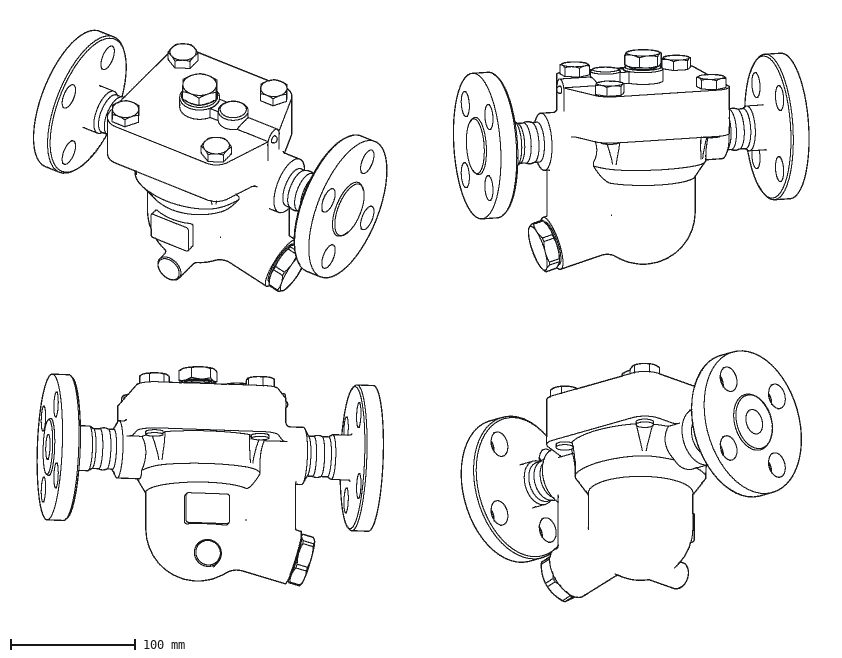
import cadquery as cq
import math


INLET_FACE_X = -122.0
OUTLET_FACE_X = 142.0
MID_X = (INLET_FACE_X + OUTLET_FACE_X) / 2
FLANGE_D = 117.0
FLANGE_T = 14.9
FLANGE_CHAMFER = 1.5
RAISED_FACE_D = 44.0
RAISED_FACE_BASE_D = 46.0
RAISED_FACE_T = 1.5
BORE_D = 20.0
FLANGE_HOLE_D = 20.0
FLANGE_HOLE_COUNT = 4
FLANGE_BOLT_CIRCLE_D = 82.0
HUB_R = 18.0
HUB_FILLET = 3.3
HUB_END_INSET = 33.1
HUB_TAPER = 3.2
PIPE_R = 16.09
BEAD_CENTRE_INSET = 45.1
BEAD_HALF_WIDTH = 3.3
BEAD_HEIGHT = 0.9
NECK_R = 23.0
NECK_START_INSET = 57.0
NECK_TAPER = 4.0
NECK_FILLET = 4.0

PLATE_BOTTOM_Z = 6.8
JOINT_Z = 26.9
COVER_TOP_Z = 44.5
BOLT_SPACING = 86.0
BOLT_OFFSET = BOLT_SPACING / 2
PLATE_CORNER_R = 14.5
PLATE_HALF = BOLT_OFFSET + PLATE_CORNER_R
NOSE_X = 70.0
NOSE_HALF_WIDTH = 8.5

BOLT_AF = 21.0
BOLT_HEAD_H = 8.2
BOLT_END_D = 14.0
BOLT_END_DROP = 2.4
BOLT_CLEARANCE_R = 8.6
HEX_CHAMFER_ANGLE = 30.0

BOSS_TOP_Z = 55.6
BOSS_CHAMFER = 1.5
PLUG_BOSS_D = 32.0
PLUG_NECK_D = 22.0
PLUG_HEX_AF = 27.0
PLUG_HEX_BOTTOM_Z = 57.2
PLUG_HEX_TOP_Z = 67.2
SIDE_BOSS_D = 24.0
SIDE_BOSS_X = 31.8
WEB_WIDTH = 14.0
WEB_TOP_Z = 53.7
DUCT_R = 8.6
DUCT_Z = 41.5
PIN_R = 3.0

BUCKET_R = 41.9
DOME_CENTRE_Z = -62.6
CUP_BULGE = 0.063
EIGHTHS = 8
CUP_TOP_HALF = 52.8
CUP_MID_HALF = 50.3
CUP_LOW_HALF = 49.3
CUP_MID_Z = -4.0
CUP_LOW_Z = -19.1
TAPER_END_Z = -32.9

BRANCH_TILT = 15.0
BRANCH_R = 22.0
BRANCH_LENGTH = 80.0
BRANCH_BLEND_R = 18.0
CAP_NECK_R = 18.0
CAP_GAP = 1.3
CAP_HEX_AF = 37.0
CAP_CORNER_R = 20.5
CAP_HEX_T = 11.0

RISER_HALF_WIDTH = 16.3
RISER_END_X = 77.7
RISER_CORNER_R = 6.8
RISER_BLEND_R = 16.0
RISER_TOP_Z = -10.0
RISER_BOTTOM_Z = -68.0
RISER_TOP_FILLET = 4.0
RISER_BOTTOM_FILLET = 2.0
BRANCH_JOINT_OFFSET = 6.0

PAD_WIDTH = 35.4
PAD_HEIGHT = 24.2
PAD_CENTRE_Z = -54.7
PAD_FACE_Y = -44.8
PAD_CORNER_R = 2.0
DRAIN_D = 22.0
DRAIN_Z = -91.4
DRAIN_END_Y = -46.3
DRAIN_CHAMFER = 1.0
DRAIN_FILLET = 3.0

SELECT_MARGIN = 1.0


def cylinder_z(radius, bottom, top, x=0.0, y=0.0):
    return cq.Workplane("XY", origin=(x, y, bottom)).circle(radius).extrude(top - bottom)


def hex_head(across_flats, height, chamfer_bottom, corner_r=None):
    """Hexagon head on Z = 0, corners along X, trimmed by 30 degree cones."""
    tip_r = across_flats / 2 / math.cos(math.radians(30))
    corner_r = corner_r or tip_r
    face_r = across_flats / 2
    drop = (corner_r - face_r) * math.tan(math.radians(HEX_CHAMFER_ANGLE))
    envelope = [(0, 0)]
    if chamfer_bottom:
        envelope += [(face_r, 0), (corner_r, drop)]
    else:
        envelope += [(corner_r, 0)]
    envelope += [(corner_r, height - drop), (face_r, height), (0, height)]
    turned = cq.Workplane("XZ").polyline(envelope).close().revolve(360, (0, 0), (0, 1))
    return cq.Workplane("XY").polygon(6, 2 * tip_r).extrude(height).intersect(turned)


def make_pipe_end():
    """Inlet flange, hub, beaded pipe and neck, turned about the X axis."""
    face = INLET_FACE_X
    front = face + RAISED_FACE_T
    back = front + FLANGE_T
    hub_start = back + HUB_FILLET
    hub_end = face + HUB_END_INSET
    bead_x = face + BEAD_CENTRE_INSET
    neck_x = face + NECK_START_INSET
    flange_r = FLANGE_D / 2
    arc_drop = HUB_FILLET * (1 - math.sqrt(0.5))
    profile = (
        cq.Workplane("XY")
        .moveTo(face, 0)
        .lineTo(face, RAISED_FACE_D / 2)
        .lineTo(front, RAISED_FACE_BASE_D / 2)
        .lineTo(front, flange_r)
        .lineTo(back - FLANGE_CHAMFER, flange_r)
        .lineTo(back, flange_r - FLANGE_CHAMFER)
        .lineTo(back, HUB_R + HUB_FILLET)
        .threePointArc((back + arc_drop, HUB_R + arc_drop), (hub_start, HUB_R))
        .lineTo(hub_end, HUB_R)
        .lineTo(hub_end + HUB_TAPER, PIPE_R)
        .lineTo(bead_x - BEAD_HALF_WIDTH, PIPE_R)
        .threePointArc((bead_x, PIPE_R + BEAD_HEIGHT), (bead_x + BEAD_HALF_WIDTH, PIPE_R))
        .lineTo(neck_x - NECK_TAPER, PIPE_R)
        .lineTo(neck_x, NECK_R)
        .lineTo(0, NECK_R)
        .lineTo(0, 0)
        .close()
    )
    end = profile.revolve(360, (0, 0), (1, 0))
    holes = (
        cq.Workplane("YZ", origin=(face, 0, 0))
        .polarArray(FLANGE_BOLT_CIRCLE_D / 2, 45, 360, FLANGE_HOLE_COUNT)
        .circle(FLANGE_HOLE_D / 2)
        .extrude(RAISED_FACE_T + FLANGE_T)
    )
    return end.cut(holes)


def make_bore():
    """Blind inlet bore, ending where the neck reaches the full diameter."""
    return cq.Workplane("YZ", origin=(INLET_FACE_X, 0, 0)).circle(BORE_D / 2).extrude(NECK_START_INSET)


def mirror_to_outlet(shape):
    return shape.mirror("YZ", (MID_X, 0, 0))


def make_plate(bottom, top):
    """Square plate with rounded corners and a tapered nose on the outlet side."""
    b, r, h = BOLT_OFFSET, PLATE_CORNER_R, PLATE_HALF
    dx = NOSE_X - b
    dy = NOSE_HALF_WIDTH - b
    normal = math.atan2(dy, dx) + math.acos(r / math.hypot(dx, dy))
    tangent_x = b + r * math.cos(normal)
    tangent_y = b + r * math.sin(normal)
    middle = (normal + math.pi / 2) / 2
    mid_x = b + r * math.cos(middle)
    mid_y = b + r * math.sin(middle)
    diag = b + r * math.sqrt(0.5)
    outline = (
        cq.Workplane("XY", origin=(0, 0, bottom))
        .moveTo(-b, -h)
        .lineTo(b, -h)
        .threePointArc((mid_x, -mid_y), (tangent_x, -tangent_y))
        .lineTo(NOSE_X, -NOSE_HALF_WIDTH)
        .lineTo(NOSE_X, NOSE_HALF_WIDTH)
        .lineTo(tangent_x, tangent_y)
        .threePointArc((mid_x, mid_y), (b, h))
        .lineTo(-b, h)
        .threePointArc((-diag, diag), (-h, b))
        .lineTo(-h, -b)
        .threePointArc((-diag, -diag), (-b, -h))
        .close()
    )
    return outline.extrude(top - bottom)


def bulged_square(half, z):
    """Smooth closed section, wider across the diagonals than along X and Y."""
    points = []
    tangents = []
    for step in range(EIGHTHS + 1):
        angle = step * math.pi / 4
        radius = half * (1 + CUP_BULGE * (step % 2))
        points.append((radius * math.cos(angle), radius * math.sin(angle)))
        tangents.append((-math.sin(angle), math.cos(angle)))
    return cq.Workplane("XY", origin=(0, 0, z)).spline(points, tangents).wire().val()


def make_bucket():
    """Cup under the plate, taper, cylinder and hemispherical bottom."""
    low = bulged_square(CUP_LOW_HALF, CUP_LOW_Z)
    cup_sections = [bulged_square(CUP_TOP_HALF, PLATE_BOTTOM_Z), bulged_square(CUP_MID_HALF, CUP_MID_Z), low]
    cup = cq.Workplane(cq.Solid.makeLoft(cup_sections))
    for x in (-BOLT_OFFSET, BOLT_OFFSET):
        for y in (-BOLT_OFFSET, BOLT_OFFSET):
            cup = cup.cut(cylinder_z(BOLT_CLEARANCE_R, CUP_LOW_Z, PLATE_BOTTOM_Z, x, y))
    taper_end = cq.Wire.makeCircle(BUCKET_R, cq.Vector(0, 0, TAPER_END_Z), cq.Vector(0, 0, 1))
    taper = cq.Workplane(cq.Solid.makeLoft([low, taper_end], True))
    barrel = cylinder_z(BUCKET_R, DOME_CENTRE_Z, TAPER_END_Z)
    dome = (
        cq.Workplane("XZ", origin=(0, 0, DOME_CENTRE_Z))
        .lineTo(BUCKET_R, 0)
        .threePointArc((BUCKET_R * math.sqrt(0.5), -BUCKET_R * math.sqrt(0.5)), (0, -BUCKET_R))
        .close()
        .revolve(360, (0, 0), (0, 1))
    )
    return cup.union(taper).union(barrel).union(dome)


def tilt_to_branch(shape):
    """Turn the Z axis onto the branch axis, starting at the dome centre."""
    turned = shape.rotate((0, 0, 0), (0, 1, 0), 90 + BRANCH_TILT)
    return turned.translate((0, 0, DOME_CENTRE_Z))


def make_branch():
    """Branch pipe with a turned blend tangent to the dome."""
    centre_r = BRANCH_R + BRANCH_BLEND_R
    reach = BUCKET_R + BRANCH_BLEND_R
    blend_end = math.sqrt(reach**2 - centre_r**2)
    start_angle = math.atan2(centre_r, blend_end)
    middle = (start_angle + math.pi / 2) / 2
    dome_point = (BUCKET_R * math.sin(start_angle), BUCKET_R * math.cos(start_angle))
    mid_point = (
        centre_r - BRANCH_BLEND_R * math.sin(middle),
        blend_end - BRANCH_BLEND_R * math.cos(middle),
    )
    pipe = (
        cq.Workplane("XZ")
        .lineTo(*dome_point)
        .threePointArc(mid_point, (BRANCH_R, blend_end))
        .lineTo(BRANCH_R, BRANCH_LENGTH)
        .lineTo(0, BRANCH_LENGTH)
        .close()
        .revolve(360, (0, 0), (0, 1))
    )
    return tilt_to_branch(pipe)


def make_branch_cap():
    hex_start = BRANCH_LENGTH + CAP_GAP
    neck = cylinder_z(CAP_NECK_R, BRANCH_LENGTH - CAP_GAP, hex_start)
    head = hex_head(CAP_HEX_AF, CAP_HEX_T, True, CAP_CORNER_R)
    return tilt_to_branch(neck.union(head.translate((0, 0, hex_start))))


def make_riser():
    """Upright web from branch to outlet, flaring into the bucket wall."""
    w, r = RISER_HALF_WIDTH, RISER_CORNER_R
    blend_y = w + RISER_BLEND_R
    reach = BUCKET_R + RISER_BLEND_R
    blend_x = math.sqrt(reach**2 - blend_y**2)
    start_angle = math.atan2(blend_y, blend_x)
    wall_x = BUCKET_R * math.cos(start_angle)
    wall_y = BUCKET_R * math.sin(start_angle)
    middle = (start_angle + math.pi / 2) / 2
    mid_x = blend_x - RISER_BLEND_R * math.cos(middle)
    mid_y = blend_y - RISER_BLEND_R * math.sin(middle)
    corner = r * (1 - math.sqrt(0.5))
    outline = (
        cq.Workplane("XY", origin=(0, 0, RISER_BOTTOM_Z))
        .lineTo(wall_x, -wall_y)
        .threePointArc((mid_x, -mid_y), (blend_x, -w))
        .lineTo(RISER_END_X - r, -w)
        .threePointArc((RISER_END_X - corner, -w + corner), (RISER_END_X, -w + r))
        .lineTo(RISER_END_X, w - r)
        .threePointArc((RISER_END_X - corner, w - corner), (RISER_END_X - r, w))
        .lineTo(blend_x, w)
        .threePointArc((mid_x, mid_y), (wall_x, wall_y))
        .close()
    )
    return outline.extrude(RISER_TOP_Z - RISER_BOTTOM_Z)


def make_pad():
    return (
        cq.Workplane("XZ", origin=(0, 0, PAD_CENTRE_Z))
        .rect(PAD_WIDTH, PAD_HEIGHT)
        .extrude(-PAD_FACE_Y)
        .edges("|Y")
        .fillet(PAD_CORNER_R)
    )


def make_drain():
    return (
        cq.Workplane("XZ", origin=(0, 0, DRAIN_Z))
        .circle(DRAIN_D / 2)
        .extrude(-DRAIN_END_Y)
        .faces("<Y")
        .chamfer(DRAIN_CHAMFER)
    )


def make_boss(diameter, x):
    boss = cylinder_z(diameter / 2, JOINT_Z, BOSS_TOP_Z, x)
    return boss.faces(">Z").chamfer(BOSS_CHAMFER)


def make_cover_fittings():
    """Plug and side bosses, the web joining them, and the outgoing duct."""
    web_h = WEB_TOP_Z - JOINT_Z
    web = (
        cq.Workplane("XY", origin=(0, 0, JOINT_Z))
        .center(SIDE_BOSS_X / 2, 0)
        .rect(SIDE_BOSS_X, WEB_WIDTH)
        .extrude(web_h)
    )
    duct = cq.Workplane("YZ", origin=(SIDE_BOSS_X, 0, DUCT_Z)).circle(DUCT_R).extrude(NOSE_X - SIDE_BOSS_X)
    pin = cq.Workplane("XY").sphere(PIN_R).translate((NOSE_X, 0, DUCT_Z))
    plug_neck = cylinder_z(PLUG_NECK_D / 2, BOSS_TOP_Z, PLUG_HEX_BOTTOM_Z)
    plug_hex = hex_head(PLUG_HEX_AF, PLUG_HEX_TOP_Z - PLUG_HEX_BOTTOM_Z, True)
    fittings = make_boss(PLUG_BOSS_D, 0).union(make_boss(SIDE_BOSS_D, SIDE_BOSS_X))
    fittings = fittings.union(web).union(duct).union(pin).union(plug_neck)
    return fittings.union(plug_hex.translate((0, 0, PLUG_HEX_BOTTOM_Z)))


def make_bolt_head(x, y):
    head = hex_head(BOLT_AF, BOLT_HEAD_H, False)
    if x * y < 0:
        head = head.rotate((0, 0, 0), (0, 0, 1), 90)
    return head.translate((x, y, COVER_TOP_Z))


def make_bolt_end(x, y):
    return cylinder_z(BOLT_END_D / 2, PLATE_BOTTOM_Z - BOLT_END_DROP, JOINT_Z, x, y)


def edges_in_box(shape, low, high):
    return shape.edges(cq.selectors.BoxSelector(low, high))


def make_flanged_body(pipes):
    """Body plate joined to both pipe necks, filleted where they meet."""
    body = pipes.union(make_plate(PLATE_BOTTOM_Z, JOINT_Z))
    inlet_side = (-PLATE_HALF - SELECT_MARGIN, -PLATE_HALF + SELECT_MARGIN)
    outlet_side = (PLATE_HALF, NOSE_X + SELECT_MARGIN)
    low_z = PLATE_BOTTOM_Z + SELECT_MARGIN
    for x_low, x_high in (inlet_side, outlet_side):
        joint = edges_in_box(body, (x_low, -NECK_R, low_z), (x_high, NECK_R, NECK_R + SELECT_MARGIN))
        body = joint.fillet(NECK_FILLET)
    return body


def make_filleted_riser(pipes):
    """Riser joined to the outlet neck and the branch, filleted at both ends."""
    joined = pipes.union(make_branch()).union(make_riser())
    y_limit = RISER_HALF_WIDTH + SELECT_MARGIN
    x_low = BUCKET_R + SELECT_MARGIN
    x_high = RISER_END_X + SELECT_MARGIN
    top_joint = edges_in_box(
        joined, (x_low + BRANCH_JOINT_OFFSET, -y_limit, -NECK_R), (x_high, y_limit, -NECK_R / 2)
    )
    joined = top_joint.fillet(RISER_TOP_FILLET)
    branch_joint = edges_in_box(
        joined,
        (x_low + BRANCH_JOINT_OFFSET, -y_limit, RISER_BOTTOM_Z),
        (x_high, y_limit, RISER_BOTTOM_Z + BRANCH_R / 2),
    )
    return branch_joint.fillet(RISER_BOTTOM_FILLET)


def make_bucket_with_drain():
    """Bucket with the drain boss blended into the dome and the flat pad."""
    bucket = make_bucket().union(make_drain())
    radius = DRAIN_D / 2 + SELECT_MARGIN
    root = edges_in_box(
        bucket,
        (-radius, -BUCKET_R, DRAIN_Z - radius),
        (radius, -DRAIN_D / 2, DRAIN_Z + radius),
    )
    return root.edges("not %LINE").fillet(DRAIN_FILLET).union(make_pad())


bolt_places = [(x, y) for x in (-BOLT_OFFSET, BOLT_OFFSET) for y in (-BOLT_OFFSET, BOLT_OFFSET)]

pipe_end = make_pipe_end()
pipes = pipe_end.union(mirror_to_outlet(pipe_end))
body = make_flanged_body(pipes)
body = body.union(make_filleted_riser(pipes))
body = body.union(make_bucket_with_drain())
body = body.union(make_branch_cap())
cover = make_plate(JOINT_Z, COVER_TOP_Z).union(make_cover_fittings())
for x, y in bolt_places:
    body = body.union(make_bolt_end(x, y))
    cover = cover.union(make_bolt_head(x, y))
body = body.cut(make_bore())
result = body.union(cover, clean=False)